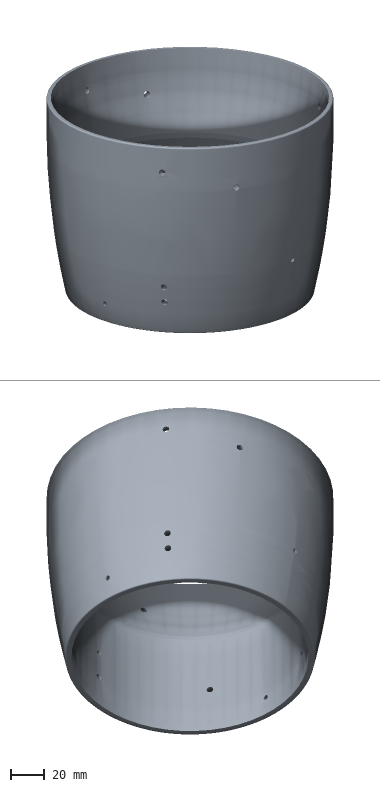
import cadquery as cq

height = 122.0
top_radius = 85.4
straight_start = 102.5
bottom_radius = 74.1
edge_fillet = 0.9

mouth_radius = 82.8
mouth_mid_radius = 77.3
mouth_mid_height = 88.8
throat_radius = 71.2
throat_height = 72.7
bore_radius = 70.5
bore_top = 69.7

large_diameter = 4.0
small_diameter = 3.0
drill_overshoot = 1.7
mount_angles = (180, 60, -60)
mount_heights = (20.8, 106.0)
upper_pair_height = 95.5
lower_pair_height = 30.9
x_pair_height = 39.1
y_pair_height = 12.6


def make_shell():
    """Revolve the wall section around Z and round its outer edges."""
    section = (
        cq.Workplane("XZ")
        .moveTo(top_radius, height)
        .lineTo(top_radius, straight_start)
        .tangentArcPoint((bottom_radius, 0), relative=False)
        .lineTo(bore_radius, 0)
        .lineTo(bore_radius, bore_top)
        .lineTo(throat_radius, throat_height)
        .threePointArc((mouth_mid_radius, mouth_mid_height), (mouth_radius, height))
        .close()
    )
    shell = section.revolve(360, (0, 0, 0), (0, 1, 0))
    for end in (">Z", "<Z"):
        outer_rim = shell.faces(end).edges(cq.selectors.RadiusNthSelector(-1))
        shell = outer_rim.fillet(edge_fillet)
    return shell


def radial_drill(angle, z, diameter):
    """Drill reaching from the axis outward through the wall on one side."""
    drill = cq.Workplane("YZ").center(0, z).circle(diameter / 2).extrude(top_radius + drill_overshoot)
    return drill.rotate((0, 0, 0), (0, 0, 1), angle)


def drill_pair(body, angle, z, diameter):
    """Cut two opposite holes that share one axis."""
    for side in (angle, angle + 180):
        body = body.cut(radial_drill(side, z, diameter))
    return body


result = make_shell()

for mount_z in mount_heights:
    for mount_angle in mount_angles:
        result = result.cut(radial_drill(mount_angle, mount_z, large_diameter))

result = drill_pair(result, -30, upper_pair_height, large_diameter)
result = drill_pair(result, -60, lower_pair_height, large_diameter)
result = drill_pair(result, 0, x_pair_height, small_diameter)
result = drill_pair(result, 90, y_pair_height, small_diameter)